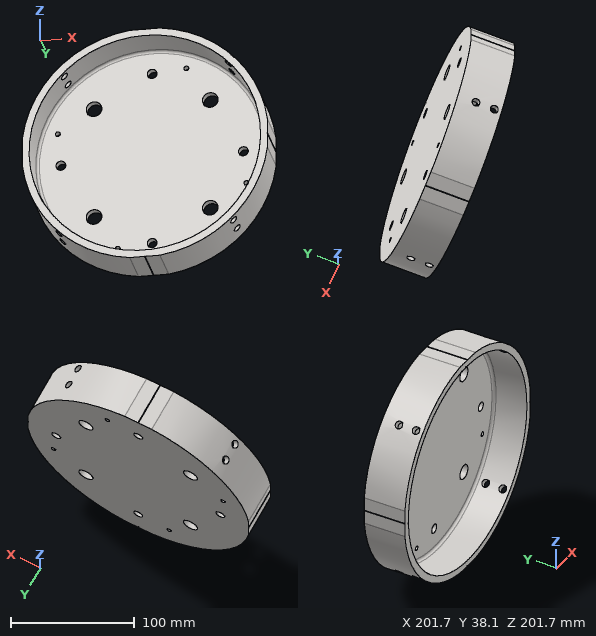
import cadquery as cq
import math

across_flats = 201.7
flat_width = 24.8
mark_width = 0.5
mark_depth = 0.25
height = 38.1
inner_radius = 95.2
floor_thickness = 6.9
floor_fillet = 2.5

large_hole_diameter = 12.7
large_hole_offset = 47.8
medium_hole_diameter = 7.9
medium_hole_radius = 75.0
small_hole_diameter = 3.8
small_hole_radius = 82.5
small_hole_angle = 20.0

wall_hole_diameter = 6.5
first_wall_hole_depth = 6.5
wall_hole_pitch = 16.0

quarter_turns = (0, 90, 180, 270)
diagonal_angle = 45.0
outer_radius = math.hypot(across_flats / 2, flat_width / 2)
pan_depth = height - floor_thickness
rim_y = -height / 2


def cylinder_along_y(radius, start_y, length, x=0.0, z=0.0):
    """Cylinder parallel to the pan axis, growing towards +Y."""
    solid = cq.Solid.makeCylinder(radius, length, cq.Vector(x, start_y, z), cq.Vector(0, 1, 0))
    return cq.Workplane(obj=solid)


def make_pan():
    """Round body with four flats on the rim and a filleted recess."""
    body = cylinder_along_y(outer_radius, rim_y, height)
    body = body.intersect(cq.Workplane().box(across_flats, height, across_flats))
    recess = cylinder_along_y(inner_radius, rim_y, pan_depth).faces(">Y").edges().fillet(floor_fillet)
    return body.cut(recess)


def centre_marks():
    """Fine V-shaped scribe marks along the middle of each flat."""
    flat_x = across_flats / 2
    mark = (
        cq.Workplane("XZ")
        .polyline([(flat_x, -mark_width / 2), (flat_x - mark_depth, 0), (flat_x, mark_width / 2)])
        .close()
        .extrude(height / 2, both=True)
    )
    marks = cq.Workplane()
    for turn in quarter_turns:
        marks = marks.add(mark.rotate((0, 0, 0), (0, 1, 0), turn))
    return marks.combine()


def floor_holes(diameter, radius, first_angle):
    """Four equally spaced holes through the floor."""
    holes = cq.Workplane()
    for turn in quarter_turns:
        angle = math.radians(first_angle + turn)
        x = radius * math.cos(angle)
        z = radius * math.sin(angle)
        holes = holes.add(cylinder_along_y(diameter / 2, rim_y, height, x, z))
    return holes.combine()


def wall_holes():
    """Pairs of radial holes through the wall on the four diagonals."""
    holes = cq.Workplane()
    for turn in quarter_turns:
        angle = math.radians(diagonal_angle + turn)
        direction = cq.Vector(math.cos(angle), 0, math.sin(angle))
        for step in range(2):
            hole_y = rim_y + first_wall_hole_depth + step * wall_hole_pitch
            start = direction * (inner_radius / 2) + cq.Vector(0, hole_y, 0)
            holes = holes.add(cq.Solid.makeCylinder(wall_hole_diameter / 2, outer_radius, start, direction))
    return holes.combine()


result = make_pan()
result = result.cut(centre_marks())
result = result.cut(floor_holes(large_hole_diameter, large_hole_offset * math.sqrt(2), diagonal_angle))
result = result.cut(floor_holes(medium_hole_diameter, medium_hole_radius, 0))
result = result.cut(floor_holes(small_hole_diameter, small_hole_radius, -small_hole_angle))
result = result.cut(wall_holes())